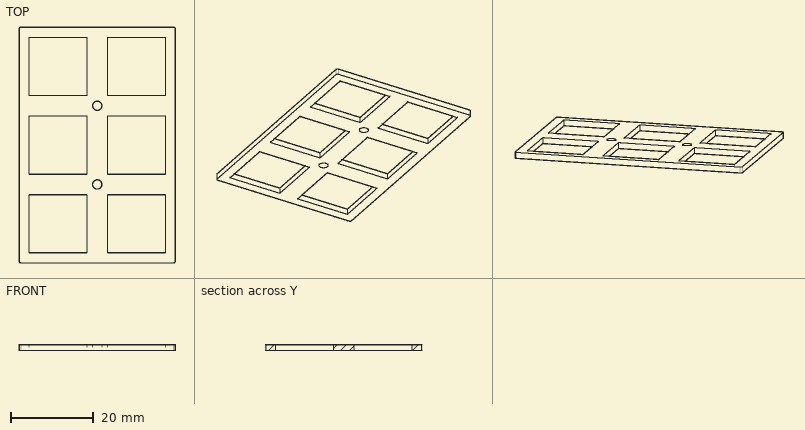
import cadquery as cq

key_pitch = 19.05
columns = 2
rows = 3
window_side = 14.0

side_clearance = 0.1
plate_width = columns * key_pitch - 2 * side_clearance
plate_length = rows * key_pitch
plate_thickness = 1.5
corner_radius = 0.5

hole_diameter = 2.2


def make_plate():
    """Flat plate with rounded vertical corners, standing on Z = 0."""
    plate = cq.Workplane("XY").rect(plate_width, plate_length).extrude(plate_thickness)
    return plate.edges("|Z").fillet(corner_radius)


def cut_windows(plate):
    """Square through windows, one per grid cell."""
    return (
        plate.faces(">Z").workplane(origin=(0, 0, 0))
        .rarray(key_pitch, key_pitch, columns, rows)
        .rect(window_side, window_side)
        .cutThruAll()
    )


def cut_mounting_holes(plate):
    """Round through holes at the inner crossings of the grid."""
    return (
        plate.faces(">Z").workplane(origin=(0, 0, 0))
        .rarray(key_pitch, key_pitch, columns - 1, rows - 1)
        .hole(hole_diameter)
    )


result = cut_mounting_holes(cut_windows(make_plate()))